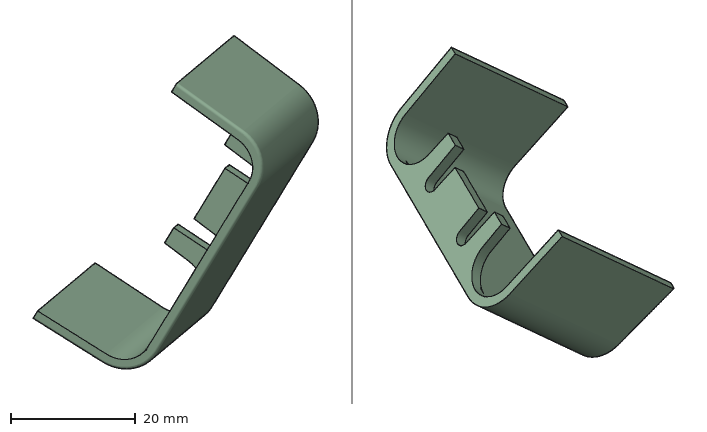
import cadquery as cq
import math


tilt = 60.0
splay = 2.0
back_depth = 25.0
front_slope = 3.0
arm_height = 19.95
bend_center = 17.3
bend_outer_radius = 6.95
wall = 1.75
edge_round = 0.5

plate_thickness = 2.0
finger_height = 11.7
middle_height = 9.65
slot_center = 6.95
slot_bottom_radius = 1.5
slot_bottom_height = 4.7

bend_inner_radius = bend_outer_radius - wall
bend_height = bend_outer_radius
tip_depth = back_depth + arm_height * math.tan(math.radians(front_slope))
overrun = 2.5


def flared_u(center, half_flat, axis_height, radius, top, depth):
    """Solid U outline: flat bottom, two round corners, straight sides leaning outward."""
    lean = math.radians(splay)
    middle_angle = math.radians(90.0 + splay) / 2
    bottom = axis_height - radius
    middle_x = half_flat + radius * math.sin(middle_angle)
    middle_z = axis_height - radius * math.cos(middle_angle)
    tangent_x = half_flat + radius * math.cos(lean)
    tangent_z = axis_height - radius * math.sin(lean)
    top_x = tangent_x + (top - tangent_z) * math.tan(lean)

    outline = (
        cq.Workplane("XZ", origin=(center, 0, 0))
        .moveTo(-top_x, top)
        .lineTo(-tangent_x, tangent_z)
        .threePointArc((-middle_x, middle_z), (-half_flat, bottom))
    )
    if half_flat > 0:
        outline = outline.lineTo(half_flat, bottom)
    return (
        outline
        .threePointArc((middle_x, middle_z), (tangent_x, tangent_z))
        .lineTo(top_x, top)
        .close()
        .extrude(depth)
    )


def outer_body():
    """Solid block with the clip's outer shape, sloping front and rounded front edge."""
    outer = flared_u(0, bend_center, bend_height, bend_outer_radius, arm_height, tip_depth)
    side_profile = (
        cq.Workplane("YZ")
        .polyline([(0, 0), (-back_depth, 0), (-tip_depth, arm_height), (0, arm_height)])
        .close()
        .extrude(bend_center + arm_height, both=True)
    )
    block = outer.intersect(side_profile)
    return block.faces("<Y").edges("not >Z").fillet(edge_round)


def inner_space():
    """Solid filling the space between the arms, down to the floor of the back."""
    return flared_u(
        0, bend_center, bend_height, bend_inner_radius, arm_height + overrun, tip_depth + overrun
    )


def finger_plate():
    """Rear plate with two fingers and a lower middle tab, parted by two tapered slots."""
    plate_bottom = wall / 2
    plate = (
        cq.Workplane("XZ", origin=(0, 0, plate_bottom))
        .rect(2 * bend_center, finger_height - plate_bottom, centered=(True, False))
        .extrude(plate_thickness)
    )
    cut_top = finger_height + overrun
    for side in (-1, 1):
        slot = flared_u(
            side * slot_center, 0, slot_bottom_height, slot_bottom_radius, cut_top, plate_thickness
        )
        bay = flared_u(
            side * bend_center, 0, bend_height, bend_inner_radius, cut_top, plate_thickness
        )
        plate = plate.cut(slot).cut(bay)
    above_tab = (
        cq.Workplane("XZ", origin=(0, 0, middle_height))
        .rect(2 * slot_center, cut_top - middle_height, centered=(True, False))
        .extrude(plate_thickness)
    )
    return plate.cut(above_tab)


clip = outer_body().cut(inner_space()).union(finger_plate())
result = clip.rotate((0, 0, 0), (0, 1, 0), -tilt)